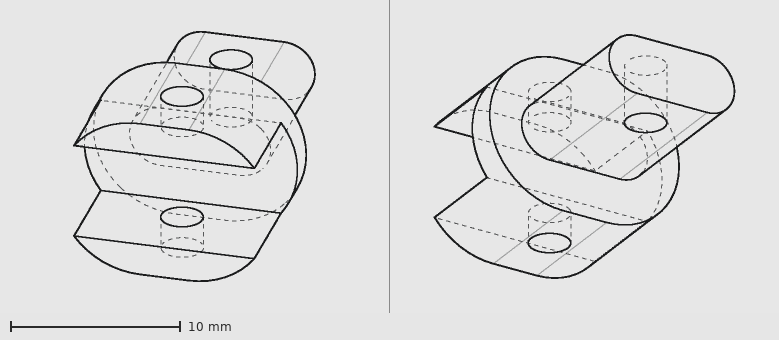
import cadquery as cq

total_length = 18.0
head_width = 13.0
head_height = 10.0

tang_length = 10.0
tang_width = 8.6
tang_height = 3.8

fork_depth = 6.0
fork_gap = 6.0

hole_diameter = 2.5
tang_hole_from_end = 3.0
fork_hole_from_end = 4.0

head_length = total_length - tang_length


def rounded_bar(width, height, start_y, length):
    """Bar along Y with flat top and bottom and half-round sides."""
    return (
        cq.Workplane("XZ", origin=(0, start_y, 0))
        .slot2D(width, height)
        .extrude(-length)
    )


def pin_hole(y):
    """Cutter for a hole through the full height at the given Y."""
    return (
        cq.Workplane("XY", origin=(0, y, 0))
        .circle(hole_diameter / 2)
        .extrude(head_height, both=True)
    )


head = rounded_bar(head_width, head_height, 0, head_length)
tang = rounded_bar(tang_width, tang_height, head_length, tang_length)

gap = cq.Workplane("XY").box(
    head_width, fork_depth, fork_gap, centered=(True, False, True)
)

result = head.union(tang).cut(gap)
for hole_y in (fork_hole_from_end, total_length - tang_hole_from_end):
    result = result.cut(pin_hole(hole_y))